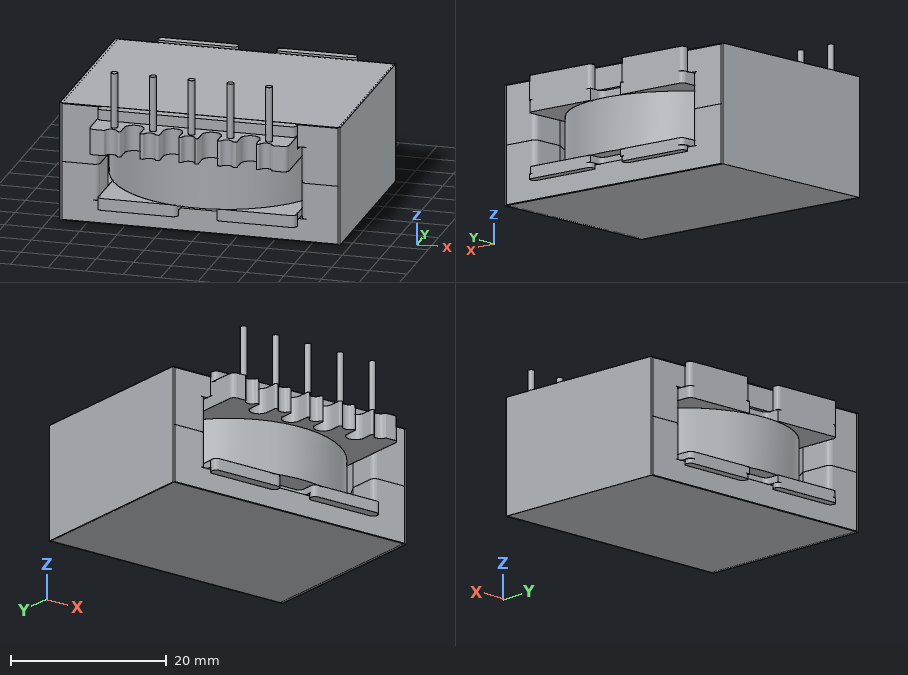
import cadquery as cq


band_width = 37.35
band_side_wall = 0.3
band_flat_wall = 0.1
band_height = 15.9
core_depth = 26.48
core_width = band_width - 2 * band_side_wall
core_bottom = band_flat_wall
core_top = band_height - band_flat_wall
core_middle = band_height / 2

window_height = 9.7
window_bottom = core_middle - window_height / 2
window_top = core_middle + window_height / 2
cavity_radius = 16.0
throat_width = 26.9
throat_rounding = 0.7
leg_radius = 7.1

axis_y = -0.22
winding_radius = 15.15
winding_bottom = 4.05
winding_top = 11.2
tube_radius = 8.2

flange_width = 26.5
lower_flange_width = 26.37
flange_front = -15.0
flange_back = 14.9
flange_rounding = 0.67
notch_width = 5.15
notch_depth = 2.25

front_tab_thickness = 1.42
front_tab_rounding = 0.67
back_tab_thickness = 1.27
back_tab_rounding = 0.52
tab_top = 16.05
tab_bottom = 2.43
half_tab_width = (flange_width - notch_width) / 2
half_tab_x = (flange_width + notch_width) / 4

block_front = -18.82
block_back = flange_front + front_tab_thickness / 2
block_top = 14.65
block_rounding = 0.67
pin_count = 5
pin_pitch = 5.15
pin_diameter = 0.9
pin_y = -17.15
pin_top = 22.0
slot_width = 2.58
slot_end_y = -17.05
groove_radius = 0.85
groove_offsets = (0.1, 0.25, 0.0, 0.25, 0.1)
finger_rounding = 0.2

selection_margin = 0.05


def block_between(x_size, y_min, y_max, z_min, z_max, x_center=0.0):
    """Box centred on x_center, given by its Y and Z limits."""
    return cq.Workplane("XY").box(x_size, y_max - y_min, z_max - z_min).translate(
        (x_center, (y_min + y_max) / 2, (z_min + z_max) / 2)
    )


def upright_cylinder(radius, z_min, z_max, x=0.0, y=axis_y):
    return cq.Workplane("XY", origin=(x, y, z_min)).circle(radius).extrude(z_max - z_min)


def make_band():
    outer = block_between(band_width, -core_depth / 2, core_depth / 2, 0, band_height)
    opening = block_between(core_width, -core_depth / 2, core_depth / 2, core_bottom, core_top)
    return outer.cut(opening).solids()


def make_core_half(z_min, z_max):
    half = block_between(core_width, -core_depth / 2, core_depth / 2, z_min, z_max)
    throat = block_between(throat_width, -core_depth / 2, core_depth / 2, window_bottom, window_top)
    half = half.cut(throat)
    mouth = cq.selectors.BoxSelector(
        (-throat_width / 2 - selection_margin, -core_depth, core_bottom),
        (throat_width / 2 + selection_margin, core_depth, core_top),
    )
    half = half.edges("|Z").edges(mouth).fillet(throat_rounding)
    cavity = upright_cylinder(cavity_radius, window_bottom, window_top)
    center_leg = upright_cylinder(leg_radius, max(z_min, window_bottom), min(z_max, window_top))
    return half.cut(cavity).union(center_leg).solids()


def make_winding():
    coil = upright_cylinder(winding_radius, winding_bottom, winding_top)
    return coil.cut(upright_cylinder(tube_radius, winding_bottom, winding_top)).solids()


def make_flange_plate(width, y_min, z_min, z_max):
    plate = block_between(width, y_min, flange_back, z_min, z_max)
    return plate.edges("|Z").fillet(flange_rounding)


def make_flange_notch(edge_y, inward, z_min, z_max):
    """Cutter for a round-cornered notch in the middle of a flange edge."""
    floor_y = edge_y + inward * notch_depth
    mouth_y = edge_y - inward * notch_depth
    notch = block_between(notch_width, min(floor_y, mouth_y), max(floor_y, mouth_y), z_min, z_max)
    return notch.edges("|Z").fillet(flange_rounding)


def make_tab(x_size, y_min, thickness, z_min, z_max, rounding, x_center=0.0):
    tab = block_between(x_size, y_min, y_min + thickness, z_min, z_max, x_center)
    return tab.edges("|Z").fillet(rounding)


def make_front_tab():
    return make_tab(
        flange_width, flange_front, front_tab_thickness, winding_top, tab_top, front_tab_rounding
    )


def make_half_tabs():
    """Pairs of tabs: up and down at the back, down only at the front."""
    back_y = flange_back - back_tab_thickness
    tabs = []
    for x in (-half_tab_x, half_tab_x):
        tabs.append(
            make_tab(half_tab_width, back_y, back_tab_thickness, window_top, tab_top, back_tab_rounding, x)
        )
        tabs.append(
            make_tab(half_tab_width, back_y, back_tab_thickness, tab_bottom, window_bottom,
                     back_tab_rounding, x)
        )
        tabs.append(
            make_tab(half_tab_width, flange_front, front_tab_thickness, tab_bottom, winding_bottom,
                     front_tab_rounding, x)
        )
    return tabs


def pin_positions():
    return [(i - (pin_count - 1) / 2) * pin_pitch for i in range(pin_count)]


def make_terminal_block():
    block = block_between(flange_width, block_front, block_back, winding_top, block_top)
    block = block.edges("|Z and <Y").fillet(block_rounding)
    pins = pin_positions()
    for left, right in zip(pins, pins[1:]):
        slot_x = (left + right) / 2
        block = block.cut(
            block_between(slot_width, block_front, slot_end_y, winding_top, block_top, slot_x)
        )
        block = block.cut(
            upright_cylinder(slot_width / 2, winding_top, block_top, slot_x, slot_end_y)
        )
    for x, offset in zip(pins, groove_offsets):
        groove = upright_cylinder(groove_radius, winding_top, block_top, x, block_front - offset)
        block = block.cut(groove)
    finger_span = pins[-1] - pins[0] + 2 * groove_radius
    finger_corners = cq.selectors.BoxSelector(
        (-finger_span / 2 - selection_margin, block_front - selection_margin, winding_top),
        (finger_span / 2 + selection_margin, block_front + selection_margin, block_top),
    )
    return block.edges("|Z").edges(finger_corners).fillet(finger_rounding)


def make_bobbin():
    upper_flange = make_flange_plate(flange_width, flange_front, winding_top, window_top)
    upper_flange = upper_flange.union(upright_cylinder(winding_radius, winding_top, window_top))
    upper_flange = upper_flange.cut(make_flange_notch(flange_back, -1, winding_top, window_top))

    lower_front = flange_front + front_tab_thickness / 2
    lower_flange = make_flange_plate(lower_flange_width, lower_front, window_bottom, winding_bottom)
    for edge_y, inward in ((lower_front, 1), (flange_back, -1)):
        lower_flange = lower_flange.cut(
            make_flange_notch(edge_y, inward, window_bottom, winding_bottom)
        )

    bobbin = upper_flange.union(lower_flange)
    bobbin = bobbin.union(upright_cylinder(tube_radius, winding_bottom, winding_top))
    bobbin = bobbin.union(make_front_tab())
    for tab in make_half_tabs():
        bobbin = bobbin.union(tab)
    bobbin = bobbin.union(make_terminal_block())
    for x in pin_positions():
        bobbin = bobbin.union(upright_cylinder(pin_diameter / 2, block_top, pin_top, x, pin_y))
    return bobbin.cut(upright_cylinder(leg_radius, window_bottom, window_top)).solids()


band = make_band()
lower_core = make_core_half(core_bottom, core_middle)
upper_core = make_core_half(core_middle, core_top)
winding = make_winding()
bobbin = make_bobbin()

result = cq.Compound.makeCompound(
    [band.val(), lower_core.val(), upper_core.val(), winding.val(), bobbin.val()]
)